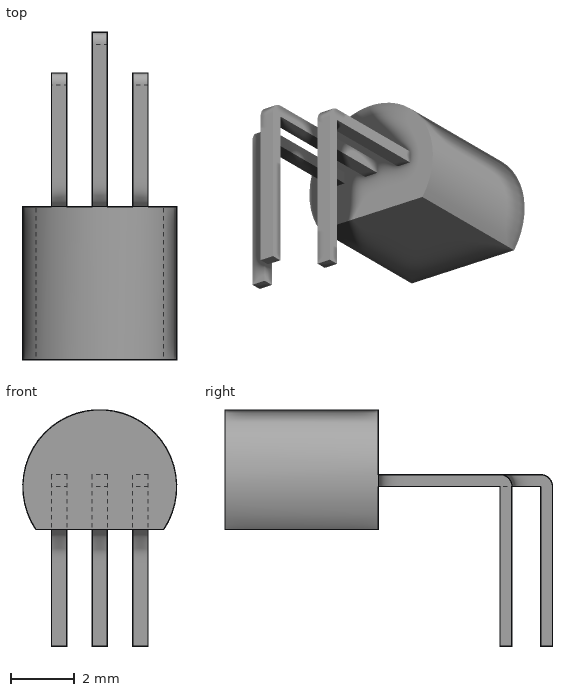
import cadquery as cq
import math

total_length = 10.26
total_height = 7.41

body_radius = 2.41
body_length = 4.8
body_height = 3.76
flat_depth = body_height - body_radius

lead_pitch = 1.27
lead_width = 0.48
lead_thickness = 0.38
lead_underside = 0.0
lead_top = lead_underside + lead_thickness
lead_tip = body_radius - total_height
stagger = 1.27


def make_body():
    """D-shaped prism from y = 0 to y = body_length."""
    half_flat = math.sqrt(body_radius**2 - flat_depth**2)
    return (
        cq.Workplane("XZ")
        .moveTo(-half_flat, -flat_depth)
        .threePointArc((0, body_radius), (half_flat, -flat_depth))
        .close()
        .extrude(-body_length)
    )


def make_lead(x, reach):
    """L-shaped lead centred at x, with its rear face at y = reach.

    The outer bend radius equals the thickness, so the inner corner is sharp.
    """
    inner_y = reach - lead_thickness
    arc_mid = lead_thickness * math.sqrt(0.5)
    return (
        cq.Workplane("YZ", origin=(x, 0, 0))
        .moveTo(body_length, lead_underside)
        .lineTo(inner_y, lead_underside)
        .lineTo(inner_y, lead_tip)
        .lineTo(reach, lead_tip)
        .lineTo(reach, lead_underside)
        .threePointArc((inner_y + arc_mid, lead_underside + arc_mid), (inner_y, lead_top))
        .lineTo(body_length, lead_top)
        .close()
        .extrude(lead_width / 2, both=True)
    )


result = make_body()
for position in (-1, 0, 1):
    lead_reach = total_length - stagger * abs(position)
    result = result.union(make_lead(position * lead_pitch, lead_reach))